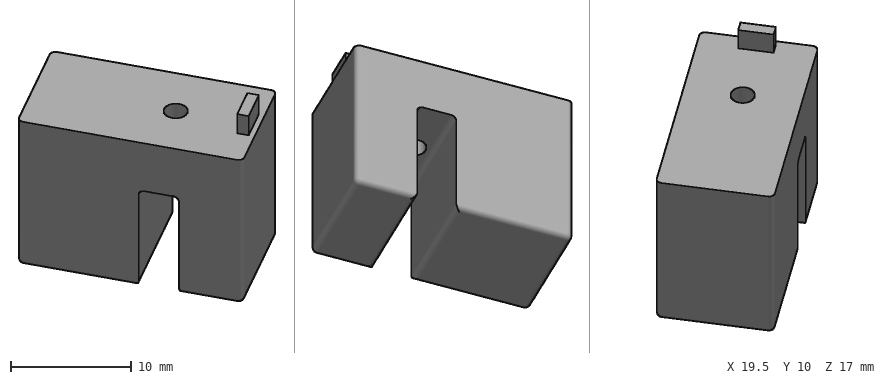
import cadquery as cq

length = 19.5
width = 10.0
block_height = 15.0
edge_radius = 0.5

slot_start = 10.5
slot_width = 3.5
slot_height = 10.0
slot_center = slot_start + slot_width / 2

hole_diameter = 2.0

tab_thickness = 1.0
tab_width = 3.0
tab_height = 2.0
tab_end_gap = edge_radius


def make_block():
    block = cq.Workplane("XY").box(length, width, block_height, centered=(False, True, False))
    return block.edges("|Z").fillet(edge_radius)


def make_slot():
    slot = cq.Workplane("XY").box(slot_width, width, slot_height, centered=(True, True, False))
    slot = slot.faces(">Z").edges("|Y").fillet(edge_radius)
    return slot.translate((slot_center, 0, 0))


def make_hole():
    return cq.Workplane("XY").center(slot_center, 0).circle(hole_diameter / 2).extrude(block_height)


def make_tab():
    tab = cq.Workplane("XY").box(tab_thickness, tab_width, tab_height, centered=(False, True, False))
    return tab.translate((length - tab_end_gap - tab_thickness, 0, block_height))


body = make_block().cut(make_slot())
body = body.faces("<Z").edges().fillet(edge_radius)
result = body.cut(make_hole()).union(make_tab())